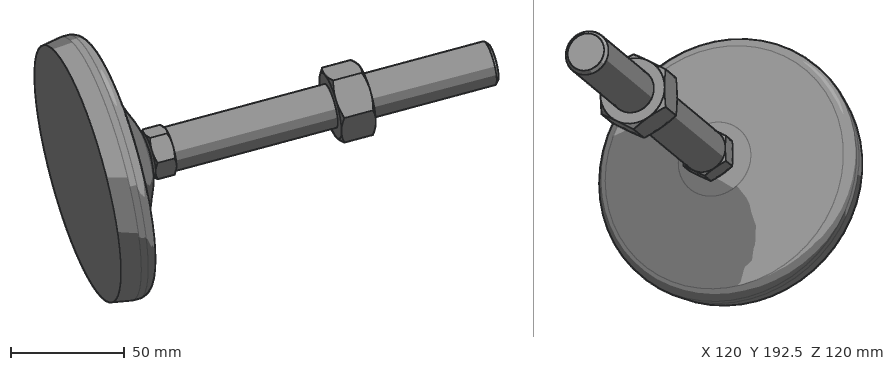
import cadquery as cq
import math

TOTAL_LENGTH = 192.5

PAD_RADIUS = 120 / 2
SOLE_RADIUS = 58.5
SKIRT_HEIGHT = 8.8
RIM_TOP = 12.0
SHOULDER_RADIUS = 5.0
FLARE_RADIUS = 120.0
CROWN_RADIUS = 20.0
FLARE_FOOT_SLOPE = 8.0
FLARE_HEAD_SLOPE = 27.5

NECK_RADIUS = 10 / 2
ROD_RADIUS = 20 / 2
ROD_CHAMFER = 1.5

STEM_HEX_START = 32.8
STEM_HEX_LENGTH = 9.7
STEM_HEX_FLATS = 20.0
NUT_START = 117.3
NUT_LENGTH = 16.0
NUT_FLATS = 30.0
HEX_BEVEL_ANGLE = 30.0


def arc_point(center, radius, degrees_from_axis):
    """Point (radial, axial) on a circle, at an angle measured from the +Y direction."""
    angle = math.radians(degrees_from_axis)
    return (center[0] + radius * math.sin(angle), center[1] + radius * math.cos(angle))


def make_pad():
    """Revolved pad whose rim, shoulder, flare and crown run smoothly into each other."""
    shoulder_center = (PAD_RADIUS - SHOULDER_RADIUS, RIM_TOP)
    flare_center = arc_point(shoulder_center, SHOULDER_RADIUS + FLARE_RADIUS, FLARE_FOOT_SLOPE)
    flare_head = arc_point(flare_center, -FLARE_RADIUS, FLARE_HEAD_SLOPE)
    crown_center = arc_point(flare_head, -CROWN_RADIUS, FLARE_HEAD_SLOPE)
    crown_top = arc_point(crown_center, CROWN_RADIUS, 0)

    shoulder_middle = (90 + FLARE_FOOT_SLOPE) / 2
    flare_middle = (FLARE_FOOT_SLOPE + FLARE_HEAD_SLOPE) / 2
    crown_middle = FLARE_HEAD_SLOPE / 2
    return (
        cq.Workplane("XY")
        .lineTo(SOLE_RADIUS, 0)
        .lineTo(PAD_RADIUS, SKIRT_HEIGHT)
        .lineTo(PAD_RADIUS, RIM_TOP)
        .threePointArc(
            arc_point(shoulder_center, SHOULDER_RADIUS, shoulder_middle),
            arc_point(shoulder_center, SHOULDER_RADIUS, FLARE_FOOT_SLOPE),
        )
        .threePointArc(arc_point(flare_center, -FLARE_RADIUS, flare_middle), flare_head)
        .threePointArc(arc_point(crown_center, CROWN_RADIUS, crown_middle), crown_top)
        .lineTo(0, crown_top[1])
        .close()
        .revolve(360, (0, 0), (0, 1))
    )


def cylinder(radius, start, end):
    """Cylinder on the Y axis from Y = start to Y = end."""
    plane = cq.Workplane("XZ", origin=(0, start, 0))
    return plane.circle(radius).extrude(start - end)


def make_hexagon(flats, start, length):
    """Hexagonal prism whose corners are bevelled conically at both ends."""
    corner_radius = flats / math.sqrt(3)
    face_radius = flats / 2
    bevel = (corner_radius - face_radius) * math.tan(math.radians(HEX_BEVEL_ANGLE))
    end = start + length
    prism = (
        cq.Workplane("XZ", origin=(0, start, 0))
        .transformed(rotate=(0, 0, 90))
        .polygon(6, 2 * corner_radius)
        .extrude(-length)
    )
    bevelled_blank = (
        cq.Workplane("XY")
        .moveTo(0, start)
        .lineTo(face_radius, start)
        .lineTo(corner_radius, start + bevel)
        .lineTo(corner_radius, end - bevel)
        .lineTo(face_radius, end)
        .lineTo(0, end)
        .close()
        .revolve(360, (0, 0), (0, 1))
    )
    return prism.intersect(bevelled_blank)


pad = make_pad()
neck = cylinder(NECK_RADIUS, RIM_TOP, STEM_HEX_START)
stem_hex = make_hexagon(STEM_HEX_FLATS, STEM_HEX_START, STEM_HEX_LENGTH)
rod = cylinder(ROD_RADIUS, STEM_HEX_START + STEM_HEX_LENGTH, TOTAL_LENGTH)
rod = rod.faces(">Y").chamfer(ROD_CHAMFER)
nut = make_hexagon(NUT_FLATS, NUT_START, NUT_LENGTH)

result = pad.union(neck).union(stem_hex).union(rod).union(nut)